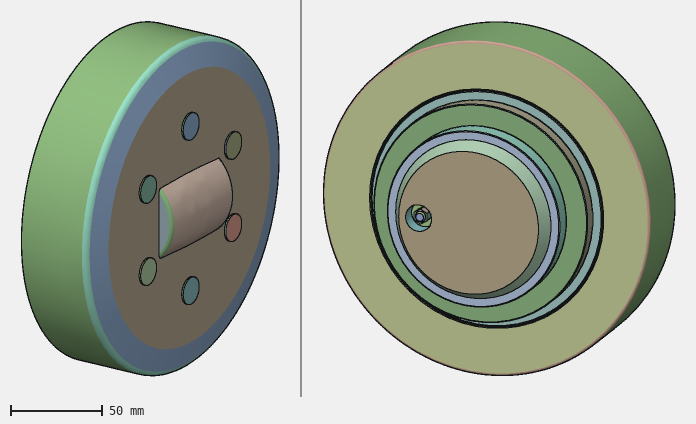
import cadquery as cq
import math


cap_end = 7.9
stub_end = 19.9
flange_end = 29.6
wheel_start = 30.2
wheel_width = 47.7
wheel_end = wheel_start + wheel_width
overall_length = 87.44

cap_face_diameter = 81.0
cap_base_diameter = 90.0
stub_diameter = 100.0
flange_diameter = 124.0
neck_diameter = 120.7
step_chamfer = 0.5

wheel_diameter = 190.0
wheel_crown = 0.1
wheel_edge_diameter = wheel_diameter - 2 * wheel_crown
wheel_fillet = 1.3
cone_face_diameter = 158.0
cone_slope = math.radians(15.0)
cone_fillet = 3.5
seal_gap_outer_diameter = 134.7
seal_gap_inner_diameter = 133.7
seal_gap_depth = 1.0
seal_gap_chamfer = 0.5

disc_count = 6
disc_diameter = 15.6
disc_height = 1.0
disc_circle_radius = 48.0
disc_start_angle = 90.0

roller_radius = 28.5
roller_length = 60.0
roller_crown = 0.65
roller_fillet = 2.0
roller_axis_x = overall_length - roller_radius

nipple_offset_y = 29.0
well_diameter = 15.0
well_depth = 10.0
nipple_hex_corners = 8.5
nipple_hex_top_x = 3.3
nipple_tip_x = 1.8
nipple_neck_base_diameter = 6.0
nipple_neck_tip_diameter = 4.4


def disc(diameter, start, end):
    """Cylinder about the X axis between two X positions."""
    return cq.Workplane("YZ", origin=(start, 0, 0)).circle(diameter / 2).extrude(end - start)


def make_stub():
    cap = (
        cq.Workplane("XY")
        .moveTo(0, 0)
        .lineTo(0, cap_face_diameter / 2)
        .lineTo(cap_end, cap_base_diameter / 2)
        .lineTo(cap_end, 0)
        .close()
        .revolve(360, (0, 0, 0), (1, 0, 0))
    )
    stub = disc(stub_diameter, cap_end, stub_end).edges().chamfer(step_chamfer)
    flange = disc(flange_diameter, stub_end, flange_end).edges().chamfer(step_chamfer)
    neck = disc(neck_diameter, flange_end, wheel_start)
    return cap.union(stub).union(flange).union(neck)


def make_wheel():
    edge_radius = wheel_edge_diameter / 2
    face_radius = cone_face_diameter / 2
    cone_length = (edge_radius - face_radius) * math.tan(cone_slope)
    tread_end = wheel_end - cone_length
    tread_middle = (wheel_start + tread_end) / 2
    profile = (
        cq.Workplane("XY")
        .moveTo(wheel_start, 0)
        .lineTo(wheel_start, edge_radius)
        .threePointArc((tread_middle, wheel_diameter / 2), (tread_end, edge_radius))
        .lineTo(wheel_end, face_radius)
        .lineTo(wheel_end, 0)
        .close()
    )
    wheel = profile.revolve(360, (0, 0, 0), (1, 0, 0))
    wheel = wheel.edges("%CIRCLE and (>>X[-3])").fillet(cone_fillet)
    wheel = wheel.faces("<X").edges().fillet(wheel_fillet)
    return wheel.cut(make_seal_gap())


def make_seal_gap():
    """Ring groove in the -X wheel face, with both of its rims chamfered."""
    outer_radius = seal_gap_outer_diameter / 2
    inner_radius = seal_gap_inner_diameter / 2
    rim_end = wheel_start + seal_gap_chamfer
    bottom = wheel_start + seal_gap_depth
    return (
        cq.Workplane("XY")
        .moveTo(wheel_start, inner_radius - seal_gap_chamfer)
        .lineTo(wheel_start, outer_radius + seal_gap_chamfer)
        .lineTo(rim_end, outer_radius)
        .lineTo(bottom, outer_radius)
        .lineTo(bottom, inner_radius)
        .lineTo(rim_end, inner_radius)
        .close()
        .revolve(360, (0, 0, 0), (1, 0, 0))
    )


def make_retaining_discs():
    return (
        cq.Workplane("YZ", origin=(wheel_end, 0, 0))
        .polarArray(disc_circle_radius, disc_start_angle, 360, disc_count)
        .circle(disc_diameter / 2)
        .extrude(disc_height)
    )


def make_roller():
    half_length = roller_length / 2
    end_radius = roller_radius - roller_crown
    roller = (
        cq.Workplane("XY", origin=(roller_axis_x, 0, 0))
        .moveTo(0, -half_length)
        .lineTo(end_radius, -half_length)
        .threePointArc((roller_radius, 0), (end_radius, half_length))
        .lineTo(0, half_length)
        .close()
        .revolve(360, (0, 0, 0), (0, 1, 0))
    )
    return roller.faces("<Y or >Y").edges().fillet(roller_fillet)


def make_well():
    return disc(well_diameter, 0, well_depth).translate((0, nipple_offset_y, 0))


def make_nipple():
    hexagon = (
        cq.Workplane("YZ", origin=(nipple_hex_top_x, 0, 0))
        .transformed(rotate=(0, 0, 90))
        .polygon(6, nipple_hex_corners)
        .extrude(well_depth - nipple_hex_top_x)
    )
    neck = (
        cq.Workplane("XY")
        .moveTo(nipple_tip_x, 0)
        .lineTo(nipple_tip_x, nipple_neck_tip_diameter / 2)
        .lineTo(nipple_hex_top_x, nipple_neck_base_diameter / 2)
        .lineTo(nipple_hex_top_x, 0)
        .close()
        .revolve(360, (0, 0, 0), (1, 0, 0))
    )
    return hexagon.union(neck).translate((0, nipple_offset_y, 0))


result = (
    make_wheel()
    .union(make_stub())
    .cut(make_well())
    .union(make_nipple())
    .union(make_retaining_discs())
    .union(make_roller())
)